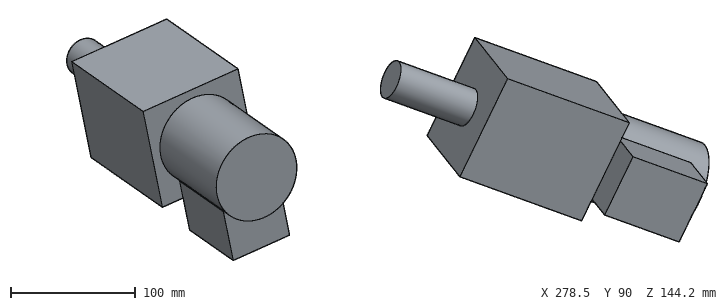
import cadquery as cq

tilt_angle = 18.9

housing_length = 114.2
housing_side = 90.0

shaft_diameter = 32.0
shaft_length = 71.9

motor_diameter = 75.0
motor_length = 90.0

terminal_length = 70.0
terminal_width = 53.5
terminal_height = 46.0
terminal_gap = 2.8
terminal_top = -27.3


def axial_cylinder(diameter, length, start_x):
    """Cylinder on the drive axis, running in +X from start_x."""
    return cq.Workplane("YZ", origin=(start_x, 0, 0)).circle(diameter / 2).extrude(length)


housing = cq.Workplane("XY").box(
    housing_length, housing_side, housing_side, centered=(False, True, True)
)

shaft = axial_cylinder(shaft_diameter, shaft_length, -shaft_length)
motor = axial_cylinder(motor_diameter, motor_length, housing_length)

terminal_box = (
    cq.Workplane("XY")
    .box(terminal_length, terminal_width, terminal_height, centered=(False, True, False))
    .translate((housing_length + terminal_gap, 0, terminal_top - terminal_height))
)

drive = housing.union(shaft).union(motor).union(terminal_box)

result = drive.rotate((0, 0, 0), (0, 1, 0), -tilt_angle)